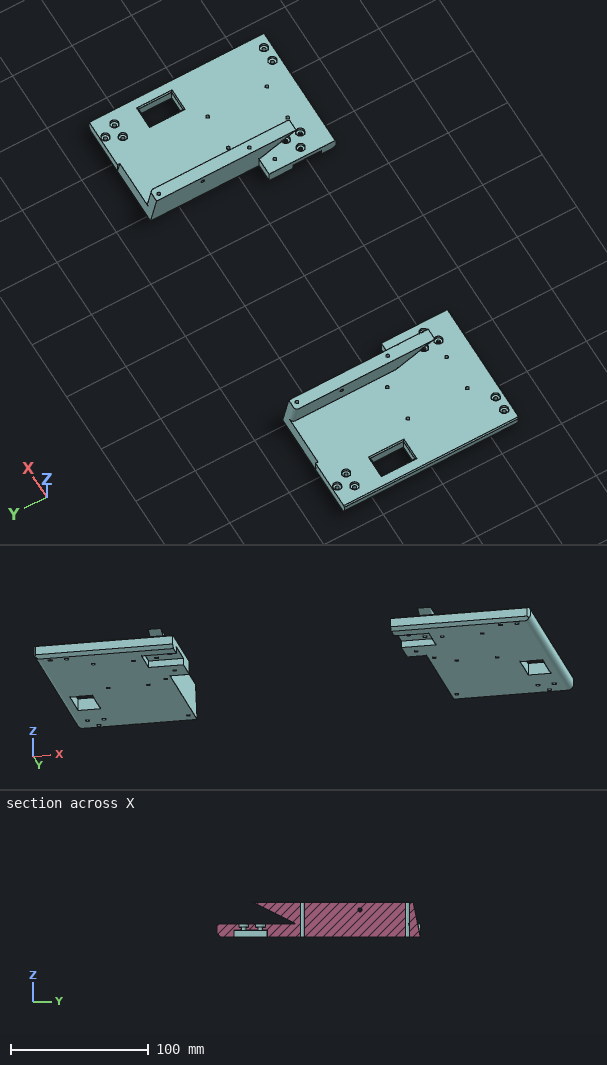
import cadquery as cq

half_span = 185.0
depth = 148.0
plate_thick = 10.0
total_height = 25.5
front_y = -depth / 2
back_y = depth / 2

outer_x = -half_span
tab_x = -81.0
inner_x = -95.5
tab_back_y = -17.5

corner_chamfer = 2.0
front_chamfer = 2.5
outer_fillet = 4.5
top_chamfer = 1.0

rib_width = 10.0
rib_tip_y = -48.5
rib_foot_y = -17.5
rib_back_fillet = 3.0
rib_front_fillet = 1.0
rib_outer_x = inner_x - rib_width

back_lean = 5.0
back_pad_length = 41.8

window_x = -167.5
window_y = 23.3
window_width = 16.5
window_length = 27.8
window_chamfer = 1.0

screw_dia = 3.0
head_dia = 6.5
head_depth = 2.5
screw_pitch = 12.2
third_offset = 11.0
back_pair_y = 59.0
front_pair_y = -67.0
tab_pair_x = -100.0
tab_pair_y = -48.5

plain_dia = 2.5
grid_center = (-130.0, -27.8)
grid_pitch_x = 30.0
grid_pitch_y = 50.0
tab_hole = (-90.0, -27.5)
rib_hole_dia = 2.55
rib_hole_x = -100.0
rib_hole_ys = (64.5, -12.0)
cross_hole_dia = 2.5
cross_hole_y = 30.0
cross_hole_z = 20.0

pocket_depth = plate_thick / 2
pocket_width = 24.0
pocket_length = 26.0
pocket_y = -49.5


def make_plate():
    """Intersect the plan outline with the end profile and the side profile."""
    outline = (
        cq.Workplane("XY")
        .polyline([
            (outer_x + corner_chamfer, front_y),
            (tab_x, front_y),
            (tab_x, tab_back_y),
            (inner_x, tab_back_y),
            (inner_x, back_y),
            (outer_x, back_y),
            (outer_x, front_y + corner_chamfer),
        ])
        .close()
        .extrude(plate_thick)
    )
    end_profile = (
        cq.Workplane("XZ", origin=(0, back_y, 0))
        .moveTo(tab_x, 0)
        .lineTo(tab_x, plate_thick)
        .lineTo(outer_x + top_chamfer, plate_thick)
        .lineTo(outer_x, plate_thick - top_chamfer)
        .lineTo(outer_x, outer_fillet)
        .radiusArc((outer_x + outer_fillet, 0), -outer_fillet)
        .close()
        .extrude(depth)
    )
    side_profile = (
        cq.Workplane("YZ", origin=(outer_x, 0, 0))
        .polyline([
            (back_y, 0),
            (back_y, plate_thick),
            (front_y + top_chamfer, plate_thick),
            (front_y, plate_thick - top_chamfer),
            (front_y, front_chamfer),
            (front_y + front_chamfer, 0),
        ])
        .close()
        .extrude(half_span)
    )
    return outline.intersect(end_profile).intersect(side_profile)


def make_rib():
    rib = (
        cq.Workplane("YZ", origin=(rib_outer_x, 0, 0))
        .polyline([
            (back_y, 0),
            (back_y - back_lean, total_height),
            (rib_tip_y, total_height),
            (rib_foot_y, plate_thick),
            (rib_foot_y, 0),
        ])
        .close()
        .extrude(rib_width)
    )
    return rib


def make_left():
    body = make_plate()
    lean_cut = (
        cq.Workplane("YZ", origin=(outer_x + back_pad_length, 0, 0))
        .polyline([(back_y, 0), (back_y, total_height), (back_y - back_lean, total_height)])
        .close()
        .extrude(half_span)
    )
    return body.union(make_rib()).cut(lean_cut)


def cut_window(body):
    window = (
        cq.Workplane("XY")
        .center(window_x, window_y)
        .rect(window_width, window_length)
        .extrude(plate_thick)
    )
    bevel = (
        cq.Workplane("XY", origin=(window_x, window_y, plate_thick - window_chamfer))
        .rect(window_width, window_length)
        .workplane(offset=window_chamfer)
        .rect(window_width + 2 * window_chamfer, window_length + 2 * window_chamfer)
        .loft()
    )
    return body.cut(window).cut(bevel)


def cut_pocket(body):
    pocket = cq.Workplane("XY").box(
        pocket_length, pocket_width, pocket_depth, centered=(False, True, False)
    )
    return body.cut(pocket.translate((tab_x - pocket_length, pocket_y, 0)))


def drill(body, points, dia, top_z):
    holes = cq.Workplane("XY").pushPoints(points).circle(dia / 2).extrude(top_z)
    return body.cut(holes)


def cut_screw_holes(body):
    half_pitch = screw_pitch / 2
    points = [
        (window_x - half_pitch, back_pair_y),
        (window_x + half_pitch, back_pair_y),
        (window_x, back_pair_y + third_offset),
        (window_x - half_pitch, front_pair_y),
        (window_x + half_pitch, front_pair_y),
        (tab_pair_x, tab_pair_y - half_pitch),
        (tab_pair_x, tab_pair_y + half_pitch),
        (tab_pair_x + third_offset, tab_pair_y),
    ]
    heads = (
        cq.Workplane("XY", origin=(0, 0, plate_thick - head_depth))
        .pushPoints(points)
        .circle(head_dia / 2)
        .extrude(head_depth)
    )
    return drill(body, points, screw_dia, plate_thick).cut(heads)


def cut_plain_holes(body):
    grid = (
        cq.Workplane("XY")
        .center(*grid_center)
        .rarray(grid_pitch_x, grid_pitch_y, 2, 2)
        .circle(plain_dia / 2)
        .extrude(plate_thick)
    )
    body = body.cut(grid)
    body = drill(body, [tab_hole], plain_dia, plate_thick)
    body = drill(body, [(rib_hole_x, y) for y in rib_hole_ys], rib_hole_dia, total_height)
    cross_hole = (
        cq.Workplane("YZ", origin=(rib_outer_x, 0, 0))
        .center(cross_hole_y, cross_hole_z)
        .circle(cross_hole_dia / 2)
        .extrude(rib_width)
    )
    return body.cut(cross_hole)


def round_rib_ends(body):
    """Round the two sloping end edges on the outer flank of the rib."""
    middle_z = (plate_thick + total_height) / 2
    half_box = 0.7
    ends = [
        (back_y - back_lean * middle_z / total_height, rib_back_fillet),
        ((rib_tip_y + rib_foot_y) / 2, rib_front_fillet),
    ]
    for y, radius in ends:
        near_edge = cq.selectors.BoxSelector(
            (rib_outer_x - half_box, y - half_box, middle_z - half_box),
            (rib_outer_x + half_box, y + half_box, middle_z + half_box),
        )
        body = body.edges(near_edge).fillet(radius)
    return body


left_bracket = make_left()
left_bracket = round_rib_ends(left_bracket)
left_bracket = cut_window(left_bracket)
left_bracket = cut_pocket(left_bracket)
left_bracket = cut_screw_holes(left_bracket)
left_bracket = cut_plain_holes(left_bracket)
right_bracket = left_bracket.mirror("YZ")

result = cq.Compound.makeCompound([left_bracket.val(), right_bracket.val()])